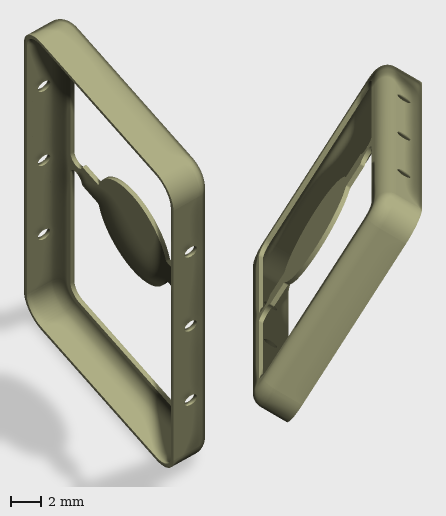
import cadquery as cq

width = 17.1
depth = 3.0
height = 31.0
wall = 0.3
corner_radius = 2.0
back_radius = 1.0

rim = 1.5
window_radius = 1.0

disc_radius = 4.0
arm_width = 2.0
notch_radius = 0.65
arm_corner_radius = 0.15

hole_diameter = 1.0
hole_pitch = 8.0
hole_setback = 1.4

front_y = -depth / 2
floor_y = depth / 2 - wall
window_width = width - 2 * rim
window_height = height - 2 * rim


def rounded_block(size_x, size_z, radius, start_y, end_y):
    """Block from start_y to end_y whose corners are rounded in the XZ plane."""
    block = cq.Workplane("XY").box(size_x, end_y - start_y, size_z)
    return block.edges("|Y").fillet(radius).translate((0, (start_y + end_y) / 2, 0))


def back_plane():
    """Sketch plane on the back face, facing -Y, with local Y along Z."""
    return cq.Workplane("XZ", origin=(0, depth / 2, 0))


def make_frame():
    outer = rounded_block(width, height, corner_radius, front_y, depth / 2)
    outer = outer.faces(">Y").edges().fillet(back_radius)
    cavity = rounded_block(
        width - 2 * wall, height - 2 * wall, corner_radius - wall, front_y, floor_y
    )
    cavity = cavity.faces(">Y").edges().fillet(back_radius - wall)
    window = rounded_block(window_width, window_height, window_radius, front_y, depth / 2)
    return outer.cut(cavity).cut(window)


def make_bridge():
    """Disc and arms spanning the window, with notches centred on the arm edges."""
    notch_x = window_width / 2 - notch_radius
    arms = back_plane().rect(window_width, arm_width).extrude(wall)
    notches = (
        back_plane()
        .rect(2 * notch_x, arm_width, forConstruction=True)
        .vertices()
        .circle(notch_radius)
        .extrude(wall)
    )
    disc = back_plane().circle(disc_radius).extrude(wall)
    bridge = arms.cut(notches).union(disc)
    for arm_edge_z in (-arm_width / 2, arm_width / 2):
        corner_zone = cq.selectors.BoxSelector(
            (-notch_x, -depth, arm_edge_z - arm_corner_radius),
            (notch_x, depth, arm_edge_z + arm_corner_radius),
        )
        bridge = bridge.edges(corner_zone).edges("|Y").fillet(arm_corner_radius)
    return bridge


def make_side_holes():
    return (
        cq.Workplane("YZ", origin=(-width / 2, front_y + hole_setback, 0))
        .rarray(0.3, hole_pitch, 1, 3)
        .circle(hole_diameter / 2)
        .extrude(width)
    )


result = make_frame().union(make_bridge()).cut(make_side_holes())